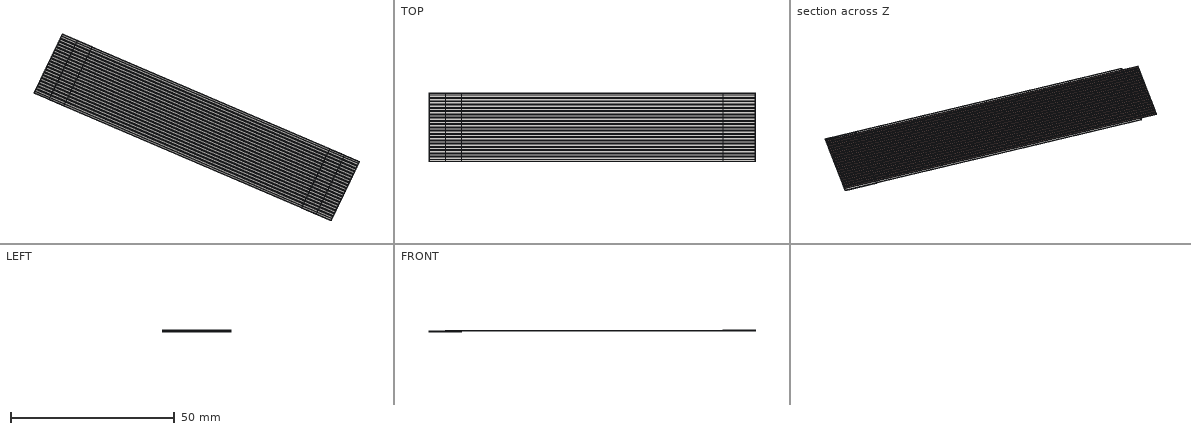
import cadquery as cq

cable_length = 100.0
cable_width = 21.0
total_thickness = 0.59

laminate_thickness = 0.14
conductor_thickness = 0.05
film_thickness = (laminate_thickness - conductor_thickness) / 2
stiffener_thickness = (total_thickness - laminate_thickness) / 2

conductor_count = 20
conductor_pitch = 1.0
conductor_width = 0.7

contact_length = 5.0
stiffener_length = 10.0

conductor_top = conductor_thickness / 2
film_top = conductor_top + film_thickness

left_end = -cable_length / 2


def layer(start, length, width, bottom, thickness, center_y=0.0):
    """Flat strip that begins a distance `start` from the -X end."""
    return (
        cq.Workplane("XY")
        .box(length, width, thickness, centered=(False, True, False))
        .translate((left_end + start, center_y, bottom))
    )


def films():
    """Cover films, each stopping short of the end where it bares the contacts."""
    film_length = cable_length - contact_length
    lower = layer(0, film_length, cable_width, -film_top, film_thickness)
    upper = layer(contact_length, film_length, cable_width, conductor_top, film_thickness)
    return [lower, upper]


def stiffeners():
    """Backing strips on the outer faces, opposite the bare contacts."""
    lower = layer(0, stiffener_length, cable_width, -film_top - stiffener_thickness, stiffener_thickness)
    right_start = cable_length - stiffener_length
    upper = layer(right_start, stiffener_length, cable_width, film_top, stiffener_thickness)
    return [lower, upper]


def conductors():
    """Evenly spaced flat conductors, centred across the cable width."""
    first_y = -(conductor_count - 1) * conductor_pitch / 2
    strips = []
    for i in range(conductor_count):
        y = first_y + i * conductor_pitch
        strips.append(layer(0, cable_length, conductor_width, -conductor_top, conductor_thickness, y))
    return strips


result = cq.Workplane("XY")
for piece in films() + conductors() + stiffeners():
    result = result.union(piece)